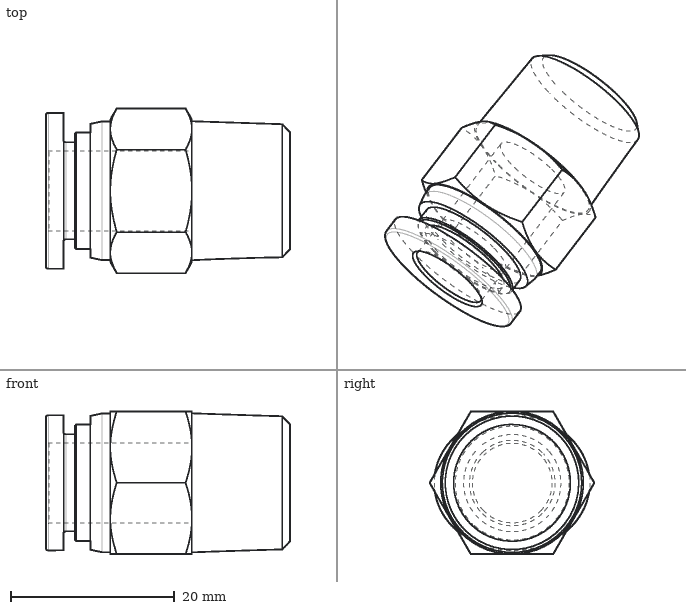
import cadquery as cq
import math

total_length = 29.9

bore_dia = 9.75
bore_depth = 17.88
bore_chamfer = 0.35

flange_width = 19.08
flange_height = 16.55
flange_thickness = 2.18
flange_fillet = 0.3
neck_dia = 11.9
neck_fillet = 0.25
collar_dia = 14.3
collar_start = 3.55
collar_chamfer = 0.18
sleeve_length = 5.45

rim_dia = 16.4
shoulder_dia = 17.0
taper_end = 6.88
hex_start = 7.85
hex_face_dia = 17.35
hex_end = 17.88
across_flats = 17.45
across_corners = across_flats / math.cos(math.pi / 6)
hex_chamfer_angle = math.radians(30)
stem_root_dia = 17.05
stem_tip_dia = 16.33
stem_chamfer_length = 1.0
stem_end_dia = 14.3


def cylinder(start, end, diameter):
    """Solid cylinder along X between two stations."""
    return cq.Workplane("YZ", origin=(start, 0, 0)).circle(diameter / 2).extrude(end - start)


def revolve_profile(points):
    """Turn a closed outline of (X, radius) points about the X axis."""
    return cq.Workplane("XY").polyline(points).close().revolve(360, (0, 0, 0), (1, 0, 0))


def make_sleeve():
    """Release sleeve: oval flange, neck and collar around the tube bore."""
    flange = cq.Workplane("YZ").ellipse(flange_width / 2, flange_height / 2).extrude(flange_thickness)
    flange = flange.faces("<X").edges().fillet(flange_fillet)
    neck = cylinder(flange_thickness, collar_start, neck_dia)
    collar = cylinder(collar_start, sleeve_length, collar_dia)
    collar = collar.faces("<X").edges().chamfer(collar_chamfer)
    sleeve = flange.union(neck).union(collar)

    neck_root = cq.selectors.BoxSelector(
        (flange_thickness - neck_fillet, -neck_dia, -neck_dia),
        (flange_thickness + neck_fillet, neck_dia, neck_dia),
    )
    root_circle = sleeve.edges(neck_root).edges("%CIRCLE")
    sleeve = root_circle.fillet(neck_fillet)

    sleeve = sleeve.cut(cylinder(0, sleeve_length, bore_dia))
    bore_radius = bore_dia / 2
    entry_cone = revolve_profile([
        (0, 0),
        (0, bore_radius + bore_chamfer),
        (bore_chamfer, bore_radius),
        (bore_chamfer, 0),
    ])
    return sleeve.cut(entry_cone)


def make_hex():
    """Hexagon with corners on +Y and -Y, both ends turned to a cone."""
    prism = cq.Workplane("YZ", origin=(hex_start, 0, 0)).polygon(6, across_corners)
    prism = prism.extrude(hex_end - hex_start)
    corner_radius = across_corners / 2
    front_radius = hex_face_dia / 2
    back_radius = across_flats / 2
    front_cone = (corner_radius - front_radius) * math.tan(hex_chamfer_angle)
    back_cone = (corner_radius - back_radius) * math.tan(hex_chamfer_angle)
    envelope = revolve_profile([
        (hex_start, 0),
        (hex_start, front_radius),
        (hex_start + front_cone, corner_radius),
        (hex_end - back_cone, corner_radius),
        (hex_end, back_radius),
        (hex_end, 0),
    ])
    return prism.intersect(envelope)


def make_housing():
    """Housing: tapered shoulder, hexagon and conical stem with a blind bore."""
    shoulder = revolve_profile([
        (sleeve_length, 0),
        (sleeve_length, rim_dia / 2),
        (taper_end, shoulder_dia / 2),
        (hex_start, shoulder_dia / 2),
        (hex_start, 0),
    ])
    stem = revolve_profile([
        (hex_end, 0),
        (hex_end, stem_root_dia / 2),
        (total_length - stem_chamfer_length, stem_tip_dia / 2),
        (total_length, stem_end_dia / 2),
        (total_length, 0),
    ])
    housing = shoulder.union(make_hex()).union(stem)
    return housing.cut(cylinder(sleeve_length, bore_depth, bore_dia))


sleeve = make_sleeve()
housing = make_housing()

result = cq.Compound.makeCompound([sleeve.solids().val(), housing.solids().val()])